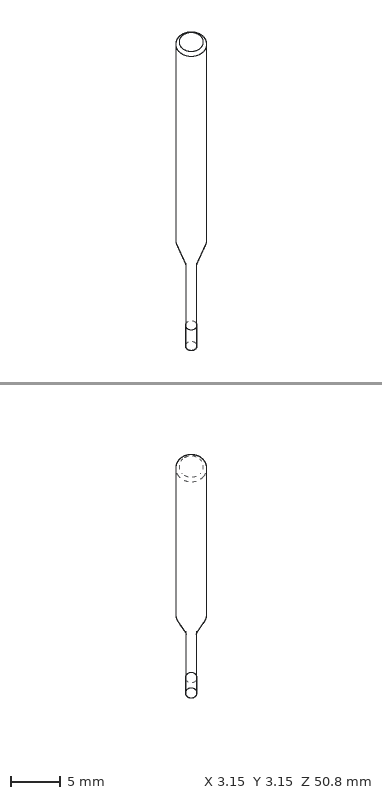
import cadquery as cq

total_length = 50.8
tip_length = 3.45
collar_height = 0.15
taper_bottom = 13.75
taper_top = 17.65

shank_diameter = 3.15
tip_diameter = 1.15
neck_diameter = 1.1
end_chamfer = 0.35

shank_radius = shank_diameter / 2
tip_radius = tip_diameter / 2
neck_radius = neck_diameter / 2


def make_tip():
    """Plain cylindrical cutting tip, standing on Z = 0."""
    return cq.Workplane("XY").circle(tip_radius).extrude(tip_length)


def make_shank():
    """Shank, taper and neck turned as one body, seated on the tip."""
    profile = (
        cq.Workplane("XZ")
        .moveTo(0, tip_length)
        .lineTo(tip_radius, tip_length)
        .lineTo(neck_radius, tip_length + collar_height)
        .lineTo(neck_radius, taper_bottom)
        .lineTo(shank_radius, taper_top)
        .lineTo(shank_radius, total_length - end_chamfer)
        .lineTo(shank_radius - end_chamfer, total_length)
        .lineTo(0, total_length)
        .close()
    )
    return profile.revolve(360, (0, 0), (0, 1))


tip = make_tip()
shank = make_shank()

result = cq.Compound.makeCompound([tip.val(), shank.val()])